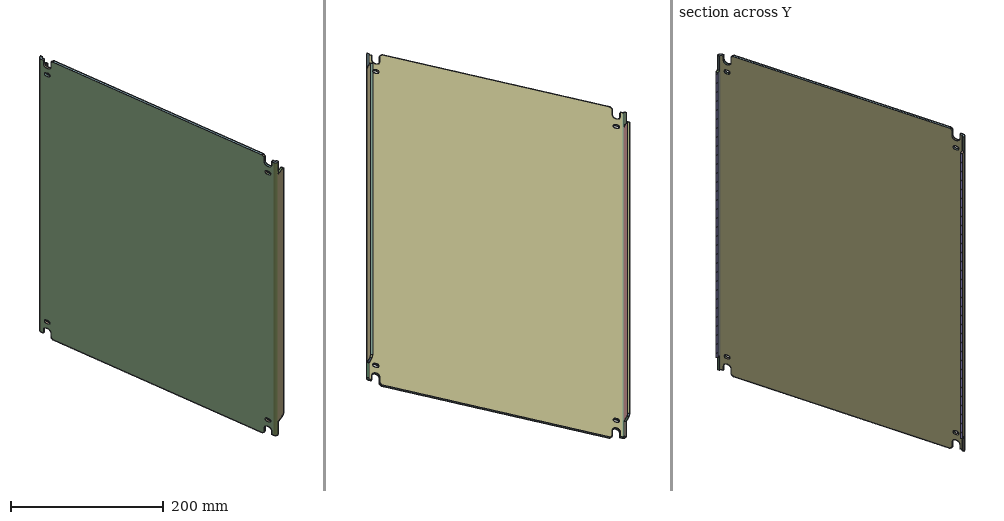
import cadquery as cq

width = 360.0
depth = 19.0
height = 563.0
sheet = 3.0
bend_radius = 4.0

edge_setback = 5.0
lip_depth = 5.0
flange_setback = 30.5
flange_corner = 3.0

slot_inset = 13.0
slot_width = 11.0
slot_depth = 18.0
slot_corner = 3.0
hole_length = 8.5
hole_width = 6.0
hole_setback = 31.0

half_width = width / 2
half_height = height / 2
flange_half_height = half_height - flange_setback
slot_x = half_width - slot_inset
slot_inner_x = slot_x - slot_width / 2


def front_prism(sketch):
    """Extrude an outline in the XZ plane through the full depth, towards +Y."""
    return sketch.extrude(-depth)


def folded_channel():
    """Channel of constant thickness with rounded folds along both sides."""
    outer = (
        cq.Workplane("XY")
        .box(width, depth, height, centered=(True, False, True))
        .edges("|Z and <Y")
        .fillet(bend_radius)
    )
    inner = (
        cq.Workplane("XY")
        .box(width - 2 * sheet, depth, height, centered=(True, False, True))
        .edges("|Z and <Y")
        .fillet(bend_radius - sheet)
        .translate((0, sheet, 0))
    )
    return outer.cut(inner)


def flange_envelope():
    """Side outline: shallow along the whole height, deep between the ends."""
    lip = cq.Workplane("XY").box(width, lip_depth, height, centered=(True, False, True))
    flange = (
        cq.Workplane("XY")
        .box(width, depth, 2 * flange_half_height, centered=(True, False, True))
        .edges("|X and >Y")
        .chamfer(flange_corner)
    )
    return lip.union(flange)


def end_notch(side, end):
    """Round-bottomed slot and the setback of the folded edge beside it."""
    slot_centre_z = half_height - slot_depth + slot_width / 2
    slot = front_prism(
        cq.Workplane("XZ")
        .moveTo(side * (slot_x + slot_width / 2), end * half_height)
        .lineTo(side * (slot_x + slot_width / 2), end * slot_centre_z)
        .threePointArc(
            (side * slot_x, end * (half_height - slot_depth)),
            (side * slot_inner_x, end * slot_centre_z),
        )
        .lineTo(side * slot_inner_x, end * (half_height - slot_corner))
        .lineTo(side * (slot_inner_x - slot_corner), end * half_height)
        .close()
    )
    setback = cq.Workplane("XY").box(slot_inset, depth, edge_setback, centered=(True, False, True))
    setback = setback.translate(
        (side * (half_width - slot_inset / 2), 0, end * (half_height - edge_setback / 2))
    )
    return slot.union(setback)


def mounting_hole(side, end):
    """Oblong hole beyond the bottom of a slot."""
    return front_prism(
        cq.Workplane("XZ")
        .center(side * slot_x, end * (half_height - hole_setback))
        .slot2D(hole_length, hole_width)
    )


result = folded_channel().intersect(flange_envelope())
for side in (-1, 1):
    for end in (-1, 1):
        result = result.cut(end_notch(side, end))
        result = result.cut(mounting_hole(side, end))